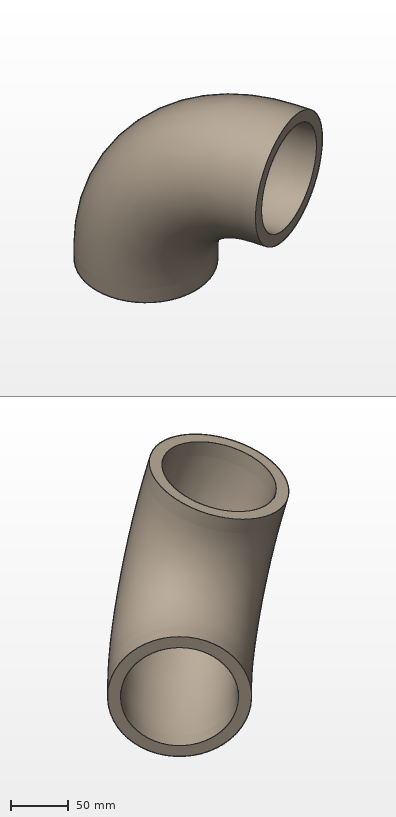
import cadquery as cq

overall_size = 202.5
outer_diameter = 125.0
bore_diameter = 102.3

bend_radius = outer_diameter
bend_angle = 90.0
spigot_length = overall_size - bend_radius - outer_diameter / 2


def elbow_body(diameter):
    """Solid elbow with a downward spigot, a quarter bend and a +X spigot."""
    radius = diameter / 2

    lower_spigot = cq.Workplane("XY").circle(radius).extrude(spigot_length)

    bend = (
        cq.Workplane("XY", origin=(0, 0, spigot_length))
        .circle(radius)
        .revolve(bend_angle, (bend_radius, 0), (bend_radius, 1))
    )

    upper_spigot = (
        cq.Workplane("YZ", origin=(bend_radius, 0, spigot_length + bend_radius))
        .circle(radius)
        .extrude(spigot_length)
    )
    return lower_spigot.union(bend).union(upper_spigot)


result = elbow_body(outer_diameter).cut(elbow_body(bore_diameter))